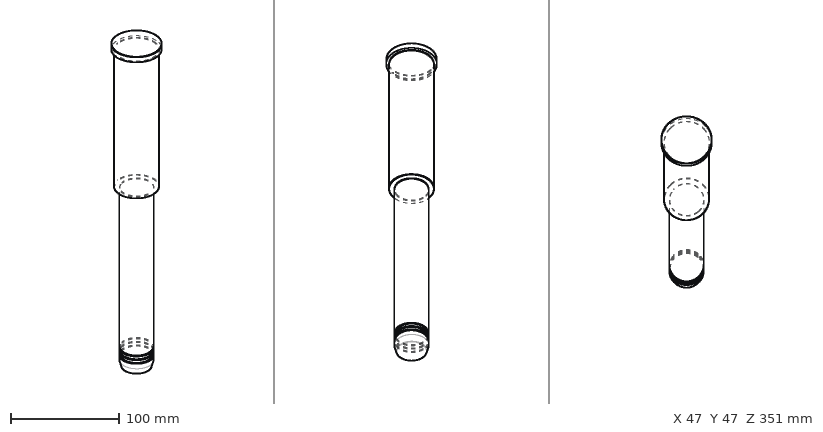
import cadquery as cq

TOTAL_LENGTH = 351.0

HEAD_DIAMETER = 47.0
HEAD_THICKNESS = 6.0
HEAD_CHAMFER = 0.5
HEAD_BOTTOM = TOTAL_LENGTH - HEAD_THICKNESS

SHOULDER_DIAMETER = 42.0
SHOULDER_LENGTH = 150.0
SHOULDER_BOTTOM = HEAD_BOTTOM - SHOULDER_LENGTH
SHOULDER_CHAMFER = 0.5

PIN_DIAMETER = 32.0

UNDERCUT_WIDTH = 1.0
UNDERCUT_DEPTH = 0.25

GROOVE_COUNT = 3
GROOVE_WIDTH = 1.0
GROOVE_DEPTH = 0.5
GROOVE_PITCH = 4.0
LOWEST_GROOVE_BOTTOM = 12.0

TIP_LENGTH = 7.0
TIP_RADIAL_TAPER = 1.9
TIP_EDGE_RADIUS = 0.5


def cylinder(diameter, bottom, height):
    """Solid cylinder on the Z axis."""
    return cq.Workplane("XY").workplane(offset=bottom).circle(diameter / 2).extrude(height)


def groove_cutter(shaft_diameter, depth, bottom, width):
    """Ring that cuts a square groove into a shaft."""
    outer = cylinder(shaft_diameter + 2 * depth, bottom, width)
    core = cylinder(shaft_diameter - 2 * depth, bottom, width)
    return outer.cut(core)


def undercut(shaft_diameter, top):
    """Cutter for a shallow undercut that ends at the given height."""
    return groove_cutter(shaft_diameter, UNDERCUT_DEPTH, top - UNDERCUT_WIDTH, UNDERCUT_WIDTH)


def make_head():
    head = cylinder(HEAD_DIAMETER, HEAD_BOTTOM, HEAD_THICKNESS)
    return head.faces(">Z").edges().chamfer(HEAD_CHAMFER)


def make_shoulder():
    shoulder = cylinder(SHOULDER_DIAMETER, SHOULDER_BOTTOM, SHOULDER_LENGTH)
    shoulder = shoulder.faces("<Z").edges().chamfer(SHOULDER_CHAMFER)
    return shoulder.cut(undercut(SHOULDER_DIAMETER, HEAD_BOTTOM))


def make_pin():
    pin = cylinder(PIN_DIAMETER, 0, SHOULDER_BOTTOM)
    pin = pin.faces("<Z").edges().chamfer(TIP_LENGTH, TIP_RADIAL_TAPER)
    pin = pin.faces("<Z").edges().fillet(TIP_EDGE_RADIUS)
    pin = pin.cut(undercut(PIN_DIAMETER, SHOULDER_BOTTOM))
    for index in range(GROOVE_COUNT):
        bottom = LOWEST_GROOVE_BOTTOM + index * GROOVE_PITCH
        pin = pin.cut(groove_cutter(PIN_DIAMETER, GROOVE_DEPTH, bottom, GROOVE_WIDTH))
    return pin


result = make_head().union(make_shoulder()).union(make_pin())